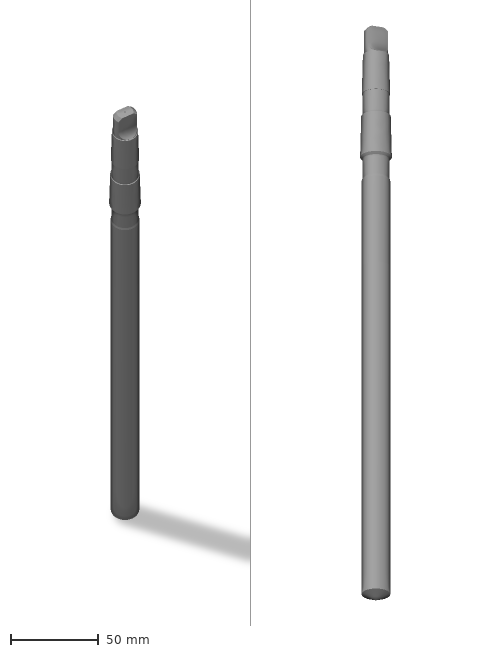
import cadquery as cq
import math

total_length = 355.0
cutting_top = 207.0

drill_diameter = 16.5
point_angle = 130.0

taper_bottom = 275.0
neck_length = 13.5
neck_diameter = 15.5
edge_chamfer = 1.5

taper_large_diameter = 18.0
taper_rate = 0.05

groove_top = 314.0
groove_length = 14.0
groove_diameter = 15.5

tang_length = 16.7
tang_diameter = 14.0
tang_thickness = 6.5
tang_turn = -16.0
tang_chamfer = 2.0
runout_radius = 6.0
flat_length = 11.0

centre_hole_diameter = 0.7
centre_hole_depth = 1.8

drill_radius = drill_diameter / 2
neck_radius = neck_diameter / 2
tang_radius = tang_diameter / 2
point_height = drill_radius / math.tan(math.radians(point_angle / 2))
neck_bottom = taper_bottom - neck_length
groove_bottom = groove_top - groove_length
taper_top = total_length - tang_length


def taper_radius(z):
    """Radius of the Morse taper at height z."""
    return (taper_large_diameter - taper_rate * (z - taper_bottom)) / 2


def revolve_profile(points):
    """Turn a closed (radius, z) outline around the Z axis."""
    return cq.Workplane("XZ").polyline(points).close().revolve(360, (0, 0), (0, 1))


def make_cutting_part():
    """Plain cylinder with a conical point at the bottom."""
    return revolve_profile([
        (0, 0),
        (drill_radius, point_height),
        (drill_radius, cutting_top),
        (0, cutting_top),
    ])


def make_turned_shank():
    """Shank before the tang flats: body, neck, grooved taper and round tang."""
    return revolve_profile([
        (0, cutting_top),
        (drill_radius, cutting_top),
        (drill_radius, neck_bottom - edge_chamfer),
        (neck_radius, neck_bottom),
        (neck_radius, taper_bottom - edge_chamfer),
        (taper_radius(taper_bottom), taper_bottom),
        (taper_radius(groove_bottom), groove_bottom),
        (groove_diameter / 2, groove_bottom),
        (groove_diameter / 2, groove_top),
        (taper_radius(groove_top), groove_top),
        (taper_radius(taper_top), taper_top),
        (tang_radius, taper_top),
        (tang_radius, total_length - tang_chamfer),
        (tang_radius - tang_chamfer, total_length),
        (0, total_length),
    ])


def make_flat_cutter(side):
    """Material removed beside one tang flat; side is +1 or -1 along X."""
    flat_x = tang_thickness / 2
    flat_bottom = total_length - flat_length
    outer_x = flat_x + runout_radius
    arc_offset = runout_radius * (1 - math.sqrt(0.5))
    arc_drop = runout_radius * math.sqrt(0.5)
    return (
        cq.Workplane("XZ")
        .moveTo(side * flat_x, total_length)
        .lineTo(side * flat_x, flat_bottom)
        .threePointArc(
            (side * (flat_x + arc_offset), flat_bottom - arc_drop),
            (side * outer_x, flat_bottom - runout_radius),
        )
        .lineTo(side * outer_x, total_length)
        .close()
        .extrude(tang_diameter, both=True)
        .rotate((0, 0, 0), (0, 0, 1), tang_turn)
    )


def make_shank():
    """Turned shank with both tang flats and the centre hole cut."""
    shank = make_turned_shank()
    for side in (-1, 1):
        shank = shank.cut(make_flat_cutter(side))
    centre_hole = (
        cq.Workplane("XY", origin=(0, 0, total_length))
        .circle(centre_hole_diameter / 2)
        .extrude(-centre_hole_depth)
    )
    return shank.cut(centre_hole)


cutting_part = make_cutting_part()
shank = make_shank()

result = cq.Compound.makeCompound([cutting_part.val(), shank.val()])